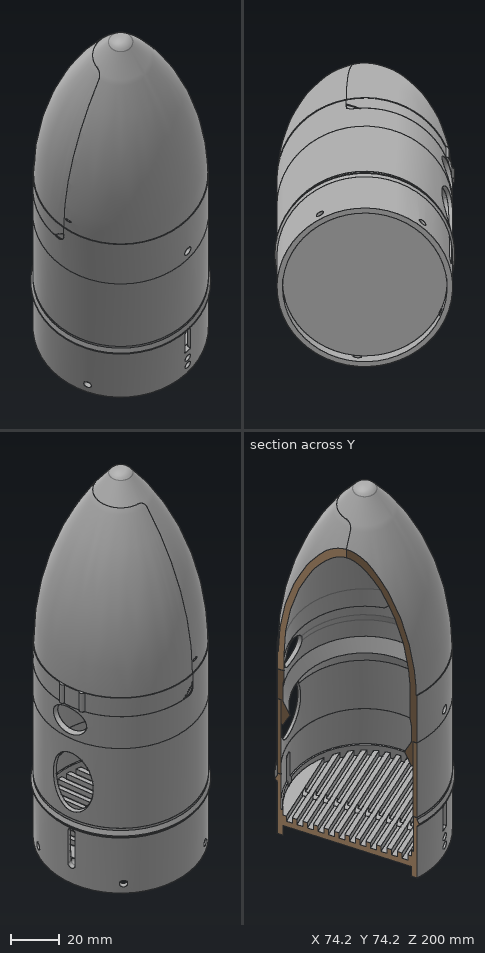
import cadquery as cq
import math

total_height = 199.99
tube_radius = 72.4 / 2
bore_radius = 69.2 / 2
narrow_bore_radius = 67.8 / 2
reach = 2 * tube_radius

base_top = 35.3
ring_radius = 74.22 / 2
ring_bottom_z = 30.0
ring_edge_low_z = 31.3
ring_edge_high_z = 31.9
ring_top_z = 34.1
ledge_z = 15.0
floor_top_z = 12.0
floor_bottom_z = 5.6
groove_depth = 3.0
groove_width = 2.6
groove_pitch = 4.75
grooves_per_side = 6
slot_diameter = 3.4
slot_top_z = 29.6
slot_bottom_z = 8.4
screw_hole_diameter = 3.4
screw_hole_z = 5.2
screw_count = 5

tube_top = 78.6
oval_width = 19.8
oval_height = 30.8
oval_z = 55.1
window_taper = 15.0
window_depth = 5.0

spigot_bottom = 64.1
neck_radius = 31.2
neck_z = 71.0
neck_top = 78.0
shoulder_low_z = 87.5
shoulder_high_z = 91.0
upper_bore_radius = 33.4
skirt_top = 106.0
ogive_radius = 35.9
ogive_rho = 151.0
wall = ogive_radius - upper_bore_radius
port_width = 17.0
port_height = 13.6
port_y = 1.5
port_z = 88.0
back_hole_diameter = 4.0
back_hole_z = 84.0
wire_slot_height = 0.9
wire_slot_length = 2.8
wire_slot_x = 1.9
wire_slot_z = 112.1

hatch_edge_x = -0.35
hatch_bottom = 95.9
hatch_top = 188.2
hatch_corner_radius = 3.0
hatch_chamfer = 5.6
corner_recess_depth = 0.5
rib_diameter = 3.0
rib_y = 4.85
rib_protrusion = 0.8


def revolve(points):
    """Solid of revolution about Z from (radius, z) points; its seam is on +Y, clear of all holes."""
    return cq.Workplane("YZ").polyline(points).close().revolve(360, (0, 0), (0, 1))


def cross_pin(diameter, z, start_x, length):
    """Cylinder along +X at height z, starting at start_x."""
    return cq.Workplane("YZ", origin=(start_x, 0, z)).circle(diameter / 2).extrude(length)


def tapered_window(width, height, y, z):
    """Oval cutter entering from the -X side and narrowing inwards."""
    half_width = width / 2
    entry_x = -math.sqrt(tube_radius**2 - half_width**2)
    spread = window_depth * math.tan(math.radians(window_taper))
    opening = cq.Workplane("YZ", origin=(entry_x - window_depth, y, z))
    return (
        opening.ellipse(half_width + spread, height / 2 + spread)
        .workplane(offset=2 * window_depth)
        .ellipse(half_width - spread, height / 2 - spread)
        .loft()
    )


def make_base():
    wall_ring = revolve(
        [
            (narrow_bore_radius, 0),
            (tube_radius, 0),
            (tube_radius, ring_bottom_z),
            (ring_radius, ring_edge_low_z),
            (ring_radius, ring_edge_high_z),
            (tube_radius, ring_top_z),
            (tube_radius, base_top),
            (bore_radius, base_top),
            (bore_radius, ledge_z),
            (narrow_bore_radius, ledge_z),
        ]
    )
    wall_ring = wall_ring.cut(slot_cutter(-1)).cut(short_slot_cutter())
    screw_hole = cross_pin(screw_hole_diameter, screw_hole_z, narrow_bore_radius - wall, reach)
    for i in range(screw_count):
        wall_ring = wall_ring.cut(screw_hole.rotate((0, 0, 0), (0, 0, 1), i * 360 / screw_count))
    bore = cross_pin(slot_diameter, slot_bottom_z + slot_diameter / 2, -narrow_bore_radius, reach)
    return wall_ring.union(make_floor()).cut(bore)


def make_floor():
    """Disc with parallel grooves along Y in its top, leaving a bar on the centre line."""
    offsets = [(i + 0.5) * groove_pitch for i in range(-grooves_per_side, grooves_per_side)]
    disc = (
        cq.Workplane("XY", origin=(0, 0, floor_bottom_z))
        .circle(narrow_bore_radius)
        .extrude(floor_top_z - floor_bottom_z)
    )
    grooves = (
        cq.Workplane("XY", origin=(0, 0, floor_top_z - groove_depth))
        .pushPoints([(x, 0) for x in offsets])
        .rect(groove_width, reach)
        .extrude(reach)
    )
    return disc.cut(grooves)


def slot_cutter(side):
    """Upright round-ended slot through the wall on the -X (side -1) or +X (side 1) side."""
    middle_z = (slot_top_z + slot_bottom_z) / 2
    return (
        cq.Workplane("YZ", origin=(0, 0, middle_z))
        .slot2D(slot_top_z - slot_bottom_z, slot_diameter, 90)
        .extrude(side * reach)
    )


def short_slot_cutter():
    """Upper part of the +X slot, ending flat on the ledge."""
    above_ledge = cq.Workplane("XY", origin=(0, 0, ledge_z)).box(
        2 * reach, reach, reach, centered=(True, True, False)
    )
    return slot_cutter(1).intersect(above_ledge)


def oval_window():
    return tapered_window(oval_width, oval_height, 0, oval_z)


def make_tube():
    tube = (
        cq.Workplane("XY", origin=(0, 0, base_top))
        .circle(tube_radius)
        .circle(bore_radius)
        .extrude(tube_top - base_top)
    )
    return tube.cut(oval_window())


def ogive_arc(offset, tip_z):
    """Middle and end of the ogive, moved inwards by offset and ending where it meets its tip sphere.

    The ogive is tangent to a cylinder at skirt_top, and the sphere is tangent to the ogive.
    """
    rho = ogive_rho - offset
    centre_x = ogive_radius - ogive_rho
    height = tip_z - skirt_top
    sphere = (rho**2 - centre_x**2 - height**2) / (2 * (rho - height))
    end_angle = math.atan2(height - sphere, -centre_x)

    def at(angle):
        return (centre_x + rho * math.cos(angle), skirt_top + rho * math.sin(angle))

    cap_angle = (end_angle + math.pi / 2) / 2
    cap_middle = (sphere * math.cos(cap_angle), tip_z - sphere + sphere * math.sin(cap_angle))
    return at(end_angle / 2), at(end_angle), cap_middle


def make_shell():
    inner_tip = total_height - wall
    outer_middle, outer_end, outer_cap = ogive_arc(0, total_height)
    inner_middle, inner_end, inner_cap = ogive_arc(wall, inner_tip)
    profile = (
        cq.Workplane("XZ")
        .moveTo(narrow_bore_radius, spigot_bottom)
        .lineTo(bore_radius, spigot_bottom)
        .lineTo(bore_radius, tube_top)
        .lineTo(tube_radius, tube_top)
        .lineTo(tube_radius, skirt_top)
        .lineTo(ogive_radius, skirt_top)
        .threePointArc(outer_middle, outer_end)
        .threePointArc(outer_cap, (0, total_height))
        .lineTo(0, inner_tip)
        .threePointArc(inner_cap, inner_end)
        .threePointArc(inner_middle, (upper_bore_radius, skirt_top))
        .lineTo(upper_bore_radius, shoulder_high_z)
        .lineTo(narrow_bore_radius, shoulder_low_z)
        .lineTo(narrow_bore_radius, neck_top)
        .lineTo(neck_radius, neck_z)
        .close()
    )
    return profile.revolve(360, (0, 0), (0, 1))


def hatch_block():
    """Block covering the hatch opening: everything on the -X side between the hatch ends."""
    height = hatch_top - hatch_bottom
    return cq.Workplane("XY", origin=(hatch_edge_x - reach, 0, hatch_bottom)).box(
        reach, 2 * reach, height, centered=(False, True, False)
    )


def hatch_panel_block():
    """Hatch outline: rounded upper corners and chamfered lower corners."""
    rounded = hatch_block().edges(">X and >Z and |Y").fillet(hatch_corner_radius)
    return rounded.edges(">X and <Z and |Y").chamfer(hatch_chamfer)


def corner_recess():
    """Shallow recess in the nose beside the chamfered hatch corners, with rounded ends."""
    rounded = hatch_block().edges(">X and |Y").fillet(hatch_corner_radius)
    core = cq.Workplane("XY").circle(tube_radius - corner_recess_depth).extrude(total_height)
    lower_part = cq.Workplane("XY").circle(reach).extrude(skirt_top)
    return rounded.intersect(lower_part).cut(core)


def make_nose(shell):
    port = tapered_window(port_width, port_height, port_y, port_z)
    wire_slot = (
        cq.Workplane("XZ", origin=(wire_slot_x, 0, wire_slot_z))
        .slot2D(wire_slot_length, wire_slot_height)
        .extrude(reach)
    )
    back_hole = cross_pin(back_hole_diameter, back_hole_z, 0, reach)
    nose = shell.cut(hatch_panel_block()).cut(corner_recess())
    return nose.cut(port).cut(oval_window()).cut(wire_slot).cut(back_hole)


def make_hatch(shell):
    hatch = shell.intersect(hatch_panel_block())
    rib_x = rib_diameter / 2 - rib_protrusion - math.sqrt(tube_radius**2 - rib_y**2)
    ribs = (
        cq.Workplane("XY", origin=(0, 0, hatch_bottom))
        .pushPoints([(rib_x, rib_y), (rib_x, -rib_y)])
        .circle(rib_diameter / 2)
        .extrude(skirt_top - hatch_bottom)
    )
    inside = cq.Workplane("XY").circle(upper_bore_radius).extrude(total_height)
    return hatch.union(ribs.cut(inside))


base = make_base()
tube = make_tube()
nose_shell = make_shell()
nose = make_nose(nose_shell)
hatch = make_hatch(nose_shell)

result = cq.Compound.makeCompound([base.val(), tube.val(), nose.val(), hatch.val()])